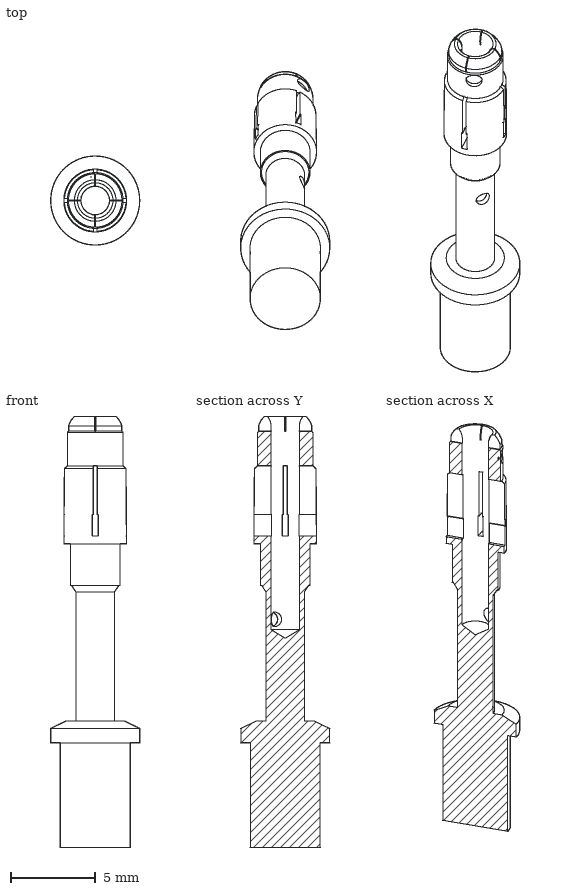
import cadquery as cq
import math

TOTAL_LENGTH = 25.5

BARREL_RADIUS = 2.085
FLANGE_RADIUS = 2.64
FLANGE_BOTTOM = 6.2
FLANGE_EDGE_TOP = 7.05
FLANGE_CONE_TOP = 7.5
FLANGE_CONE_TOP_RADIUS = 1.72

STEM_RADIUS = 1.15
NECK_RADIUS = 1.475
NECK_CONE_BOTTOM = 15.12
NECK_CONE_TOP_RADIUS = 1.4
NECK_BOTTOM = 15.5

COLLAR_RADIUS = 1.86
COLLAR_TOP_RADIUS = 1.83
COLLAR_BOTTOM = 17.97
COLLAR_TAPER_START = 18.97
COLLAR_CHAMFER_START = 22.42
COLLAR_TOP = 22.58

SLEEVE_RADIUS = 1.65
SLEEVE_TOP = 24.64
SLEEVE_CHAMFER_START = 24.55
TIP_RADIUS = 1.58
TIP_ROUND_START = 24.95
RIM_OUTER_RADIUS = 1.23
RIM_INNER_RADIUS = 1.05
TIP_ROUND_MID_RADIUS = 1.41
TIP_ROUND_MID_DROP = 0.2

BORE_RADIUS = 0.84
BORE_MOUTH_DEPTH = 0.65
BORE_MOUTH_MID_RADIUS = 0.9
BORE_MOUTH_MID_DROP = 0.25
BORE_BOTTOM = 12.9
BORE_POINT_ANGLE = 118.0

TIP_SLOT_WIDTH = 0.06
COLLAR_SLOT_WIDTH = 0.22
COLLAR_SLOT_WIDE = 0.34
COLLAR_SLOT_BOTTOM = 18.43
COLLAR_SLOT_STEP = 19.7

STEM_HOLE_DIAMETER = 0.85
STEM_HOLE_HEIGHT = 13.5
STEM_HOLE_ANGLE = 135.0
SLEEVE_HOLE_DIAMETER = 0.95
SLEEVE_HOLE_HEIGHT = 24.05
SLEEVE_HOLE_ANGLE = 108.0
SLEEVE_HOLE_FLOOR_RADIUS = 1.4


def turned_body():
    """Solid of revolution carrying every outside diameter."""
    profile = (
        cq.Workplane("XZ")
        .lineTo(BARREL_RADIUS, 0)
        .lineTo(BARREL_RADIUS, FLANGE_BOTTOM)
        .lineTo(FLANGE_RADIUS, FLANGE_BOTTOM)
        .lineTo(FLANGE_RADIUS, FLANGE_EDGE_TOP)
        .lineTo(FLANGE_CONE_TOP_RADIUS, FLANGE_CONE_TOP)
        .lineTo(STEM_RADIUS, FLANGE_CONE_TOP)
        .lineTo(STEM_RADIUS, NECK_CONE_BOTTOM)
        .lineTo(NECK_CONE_TOP_RADIUS, NECK_BOTTOM)
        .lineTo(NECK_RADIUS, NECK_BOTTOM)
        .lineTo(NECK_RADIUS, COLLAR_BOTTOM)
        .lineTo(COLLAR_RADIUS, COLLAR_BOTTOM)
        .lineTo(COLLAR_RADIUS, COLLAR_TAPER_START)
        .lineTo(COLLAR_TOP_RADIUS, COLLAR_CHAMFER_START)
        .lineTo(SLEEVE_RADIUS, COLLAR_TOP)
        .lineTo(SLEEVE_RADIUS, SLEEVE_CHAMFER_START)
        .lineTo(TIP_RADIUS, SLEEVE_TOP)
        .lineTo(TIP_RADIUS, TIP_ROUND_START)
        .threePointArc(
            (TIP_ROUND_MID_RADIUS, TOTAL_LENGTH - TIP_ROUND_MID_DROP),
            (RIM_OUTER_RADIUS, TOTAL_LENGTH),
        )
        .lineTo(0, TOTAL_LENGTH)
        .close()
    )
    return profile.revolve(360, (0, 0, 0), (0, 1, 0))


def contact_bore():
    """Blind bore with a rounded mouth and a drill point."""
    point_depth = BORE_RADIUS / math.tan(math.radians(BORE_POINT_ANGLE / 2))
    profile = (
        cq.Workplane("XZ")
        .moveTo(0, BORE_BOTTOM - point_depth)
        .lineTo(BORE_RADIUS, BORE_BOTTOM)
        .lineTo(BORE_RADIUS, TOTAL_LENGTH - BORE_MOUTH_DEPTH)
        .threePointArc(
            (BORE_MOUTH_MID_RADIUS, TOTAL_LENGTH - BORE_MOUTH_MID_DROP),
            (RIM_INNER_RADIUS, TOTAL_LENGTH),
        )
        .lineTo(0, TOTAL_LENGTH)
        .close()
    )
    return profile.revolve(360, (0, 0, 0), (0, 1, 0))


def cross_slot(width, bottom, top):
    """Two crossing slots, each passing through the whole diameter."""
    length = 2 * FLANGE_RADIUS
    plane = cq.Workplane("XY").workplane(offset=bottom)
    return plane.rect(length, width).extrude(top - bottom).union(
        plane.rect(width, length).extrude(top - bottom)
    )


def radial_hole(diameter, height, angle, floor_radius=0.0):
    """Cutter for a flat-bottomed hole drilled from one side towards the axis."""
    direction = cq.Vector(math.cos(math.radians(angle)), math.sin(math.radians(angle)), 0)
    start = direction * floor_radius + cq.Vector(0, 0, height)
    depth = FLANGE_RADIUS - floor_radius
    return cq.Workplane(obj=cq.Solid.makeCylinder(diameter / 2, depth, start, direction))


result = turned_body().cut(contact_bore())

tip_slots = cross_slot(TIP_SLOT_WIDTH, SLEEVE_TOP, TOTAL_LENGTH)
narrow_slots = cross_slot(COLLAR_SLOT_WIDTH, COLLAR_SLOT_STEP, COLLAR_TOP)
wide_slots = cross_slot(COLLAR_SLOT_WIDE, COLLAR_SLOT_BOTTOM, COLLAR_SLOT_STEP)
for slots in (tip_slots, narrow_slots, wide_slots):
    result = result.cut(slots)

stem_hole = radial_hole(STEM_HOLE_DIAMETER, STEM_HOLE_HEIGHT, STEM_HOLE_ANGLE)
sleeve_hole = radial_hole(
    SLEEVE_HOLE_DIAMETER, SLEEVE_HOLE_HEIGHT, SLEEVE_HOLE_ANGLE, SLEEVE_HOLE_FLOOR_RADIUS
)
result = result.cut(stem_hole).cut(sleeve_hole)